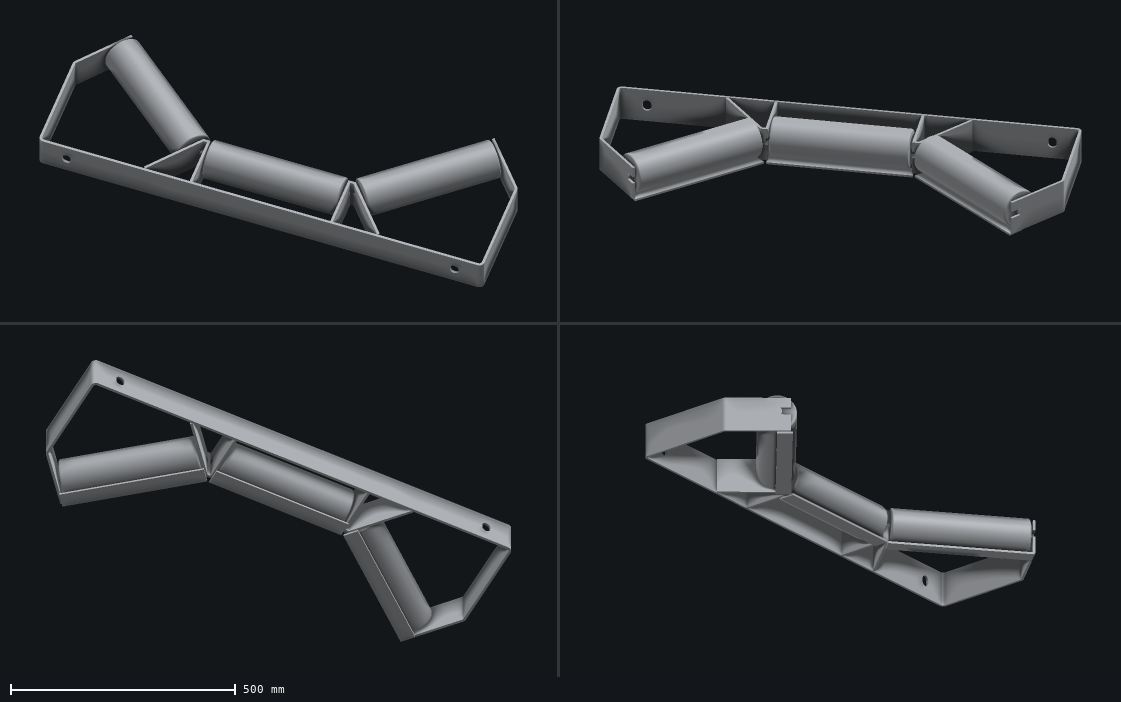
import cadquery as cq
import math

frame_width = 1050.0
strip_height = 80.0
strip_thickness = 6.0
bend_radius = 12.0
mount_hole_offset = 67.0
mount_hole_width = 20.0
mount_hole_height = 26.0
mount_hole_z = strip_height / 2

roller_diameter = 89.0
roller_length = 315.0
roller_rounding = 4.0
shaft_diameter = 22.0
shaft_flat_height = 16.0
end_gap = 5.5
trough_angle = 40.0
roller_z = 48.0
middle_roller_y = 101.2
side_roller_x = 319.3
side_roller_y = 214.7

arm_reach = 31.0
bracket_reach = 26.0
tie_reach = 35.0
tie_length = 330.0
tie_thickness = 5.0

sin_a = math.sin(math.radians(trough_angle))
cos_a = math.cos(math.radians(trough_angle))
inner_span = roller_length / 2 + end_gap
outer_span = inner_span + strip_thickness
half_width = frame_width / 2


def at_side_roller(along, across):
    """Point on the left side, from distances along and across the left roller's axis."""
    x = -side_roller_x - along * cos_a + across * sin_a
    y = side_roller_y + along * sin_a + across * cos_a
    return (x, y)


def place_side(shape):
    """Move a shape from the origin to the left roller's place."""
    turned = shape.rotate((0, 0, 0), (0, 0, 1), -trough_angle)
    return turned.translate((-side_roller_x, side_roller_y, 0))


def place_middle(shape):
    return shape.translate((0, middle_roller_y, 0))


def mirror_x(shape):
    return shape.mirror("YZ")


def across_at_x(along, x):
    """Distance across the left roller's axis at which the line at this distance along it meets x."""
    return (x + side_roller_x + along * cos_a) / sin_a


def across_at_y(along, y):
    """Distance across the left roller's axis at which the line at this distance along it meets y."""
    return (y - side_roller_y - along * sin_a) / cos_a


def build_shaft():
    length = 2 * outer_span
    flats = cq.Workplane("XY").box(length, shaft_diameter, shaft_flat_height)
    rod = cq.Workplane("YZ").circle(shaft_diameter / 2).extrude(length).translate((-outer_span, 0, 0))
    return rod.intersect(flats).translate((0, 0, roller_z))


def slot_cutter():
    opening_length = arm_reach + strip_thickness
    opening = cq.Workplane("XY").box(
        2 * outer_span, opening_length, shaft_flat_height, centered=(True, False, True)
    )
    return build_shaft().union(opening.translate((0, 0, roller_z)))


middle_slot = place_middle(slot_cutter())
left_slot = place_side(slot_cutter())


def build_frame():
    inner_half = half_width - strip_thickness
    left_outer = [
        (0, 0),
        (-half_width, 0),
        at_side_roller(outer_span, across_at_x(outer_span, -half_width)),
        at_side_roller(outer_span, arm_reach),
    ]
    left_inner = [
        at_side_roller(inner_span, arm_reach),
        at_side_roller(inner_span, across_at_x(inner_span, -inner_half)),
        (-inner_half, strip_thickness),
        (0, strip_thickness),
    ]
    half = cq.Workplane("XY").polyline(left_outer + left_inner).close().extrude(strip_height)
    for radius, corners in (
        (bend_radius, left_outer[1:3]),
        (bend_radius - strip_thickness, left_inner[1:3]),
    ):
        for x, y in corners:
            corner = cq.selectors.NearestToPointSelector((x, y, strip_height / 2))
            half = half.edges("|Z").edges(corner).fillet(radius)
    hole = (
        cq.Workplane("XZ")
        .center(-half_width + mount_hole_offset, mount_hole_z)
        .slot2D(mount_hole_height, mount_hole_width, 90)
        .extrude(-strip_thickness)
    )
    half = half.cut(hole).cut(left_slot)
    return half.union(mirror_x(half))


def build_left_bracket():
    web_top = middle_roller_y + bracket_reach
    web_bottom = web_top - strip_thickness

    foot_across = across_at_y(-outer_span, strip_thickness)
    outline = [
        (-inner_span, strip_thickness),
        (-inner_span, web_top),
        at_side_roller(-inner_span, across_at_y(-inner_span, web_top)),
        at_side_roller(-inner_span, foot_across),
        at_side_roller(-outer_span, foot_across),
        at_side_roller(-outer_span, across_at_y(-outer_span, web_bottom)),
        (-outer_span, web_bottom),
        (-outer_span, strip_thickness),
    ]
    bracket = cq.Workplane("XY").polyline(outline).close().extrude(strip_height)
    return bracket.cut(middle_slot).cut(left_slot)


def build_roller():
    body = (
        cq.Workplane("YZ")
        .circle(roller_diameter / 2)
        .extrude(roller_length)
        .edges("%CIRCLE")
        .fillet(roller_rounding)
        .translate((-roller_length / 2, 0, 0))
    )
    return body.translate((0, 0, roller_z)).union(build_shaft())


def build_tie_plate():
    plate = cq.Workplane("XY").box(tie_length, tie_reach, tie_thickness, centered=(True, False, False))
    return plate.translate((0, 0, -tie_thickness))


frame = build_frame()
left_bracket = build_left_bracket()
brackets = [left_bracket, mirror_x(left_bracket)]
rollers = []
tie_plates = []
for bodies, shape in ((rollers, build_roller()), (tie_plates, build_tie_plate())):
    side = place_side(shape)
    bodies += [side, place_middle(shape), mirror_x(side)]

solids = []
for body in [frame, *brackets, *rollers, *tie_plates]:
    solids += body.solids().vals()
result = cq.Compound.makeCompound(solids)